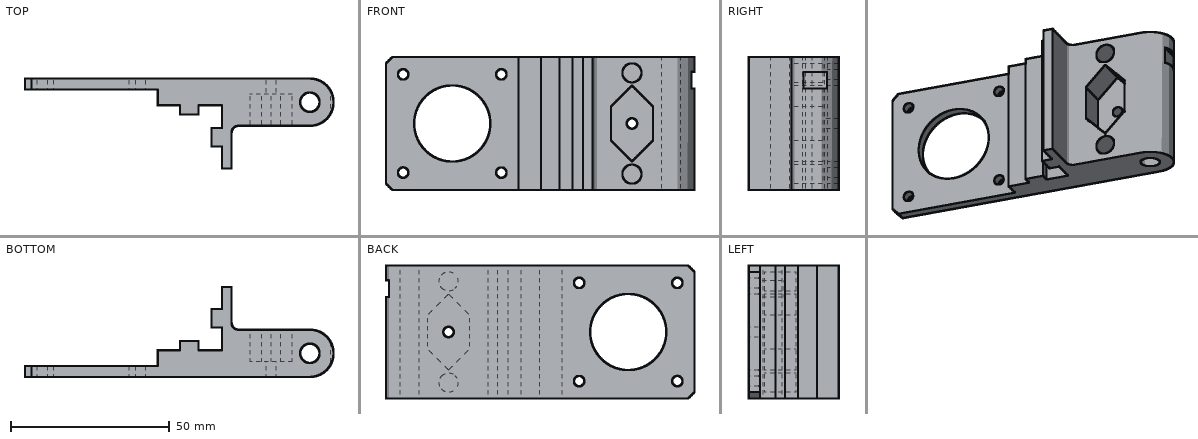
import cadquery as cq

length = 97.45
depth = 28.5
height = 42.0

plate_thickness = 3.5
plate_corner_chamfer = 2.0
motor_x = 21.0
motor_bore_diameter = 24.0
screw_diameter = 3.2
screw_offset = 15.5

block_start_x = 41.9
block_thickness = 8.5
leg_x = 62.2
leg_thickness = 3.1
key_width = 5.9
block_key_x = 48.9
block_key_height = 2.9
leg_key_y = -15.6
leg_key_height = 3.3
inner_fillet = 2.0

arm_thickness = 15.0
arm_radius = arm_thickness / 2
hinge_x = length - arm_radius
hinge_diameter = 6.0
notch_depth = 1.0
notch_height = 5.3
notch_top_gap = 4.7

pocket_x = 77.7
pocket_half_width = 6.6
pocket_point_z = 12.0
pocket_shoulder_z = pocket_point_z - pocket_half_width
recess_depth = 10.0
blind_diameter = 6.0
blind_offset_z = 16.0


def front_plane(y):
    """Sketch plane facing -Y, with sketch axes along X and Z."""
    return cq.Workplane("XZ", origin=(0, y, 0))


def make_body():
    leg_right_x = leg_x + leg_thickness
    block_key_right_x = block_key_x + key_width
    block_key_y = -block_thickness - block_key_height
    leg_key_x = leg_x - leg_key_height
    profile = (
        cq.Workplane("XY", origin=(0, 0, -height / 2))
        .lineTo(0, -plate_thickness)
        .lineTo(block_start_x, -plate_thickness)
        .lineTo(block_start_x, -block_thickness)
        .lineTo(block_key_x, -block_thickness)
        .lineTo(block_key_x, block_key_y)
        .lineTo(block_key_right_x, block_key_y)
        .lineTo(block_key_right_x, -block_thickness)
        .lineTo(leg_x, -block_thickness)
        .lineTo(leg_x, leg_key_y)
        .lineTo(leg_key_x, leg_key_y)
        .lineTo(leg_key_x, leg_key_y - key_width)
        .lineTo(leg_x, leg_key_y - key_width)
        .lineTo(leg_x, -depth)
        .lineTo(leg_right_x, -depth)
        .lineTo(leg_right_x, -arm_thickness - inner_fillet)
        .radiusArc((leg_right_x + inner_fillet, -arm_thickness), inner_fillet)
        .lineTo(hinge_x, -arm_thickness)
        .threePointArc((length, -arm_radius), (hinge_x, 0))
        .close()
    )
    return profile.extrude(height).edges("|Y and <X").chamfer(plate_corner_chamfer)


def motor_holes():
    bore = front_plane(0).center(motor_x, 0).circle(motor_bore_diameter / 2).extrude(plate_thickness)
    screws = (
        front_plane(0)
        .center(motor_x, 0)
        .rect(2 * screw_offset, 2 * screw_offset, forConstruction=True)
        .vertices()
        .circle(screw_diameter / 2)
        .extrude(plate_thickness)
    )
    return bore.union(screws)


def hinge_cuts():
    bore = (
        cq.Workplane("XY", origin=(hinge_x, -arm_radius, -height / 2))
        .circle(hinge_diameter / 2)
        .extrude(height)
    )
    notch_z = height / 2 - notch_top_gap - notch_height / 2
    notch = cq.Workplane("XY").box(notch_depth, arm_thickness, notch_height).translate(
        (length - notch_depth / 2, -arm_radius, notch_z)
    )
    return bore.union(notch)


def arm_recesses():
    pocket_outline = [
        (0, pocket_point_z),
        (pocket_half_width, pocket_shoulder_z),
        (pocket_half_width, -pocket_shoulder_z),
        (0, -pocket_point_z),
        (-pocket_half_width, -pocket_shoulder_z),
        (-pocket_half_width, pocket_shoulder_z),
    ]
    floor_y = recess_depth - arm_thickness
    pocket = front_plane(floor_y).center(pocket_x, 0).polyline(pocket_outline).close().extrude(recess_depth)
    blind_holes = (
        front_plane(floor_y)
        .center(pocket_x, 0)
        .pushPoints([(0, blind_offset_z), (0, -blind_offset_z)])
        .circle(blind_diameter / 2)
        .extrude(recess_depth)
    )
    screw = front_plane(0).center(pocket_x, 0).circle(screw_diameter / 2).extrude(arm_thickness)
    return pocket.union(blind_holes).union(screw)


result = make_body().cut(motor_holes()).cut(hinge_cuts()).cut(arm_recesses())